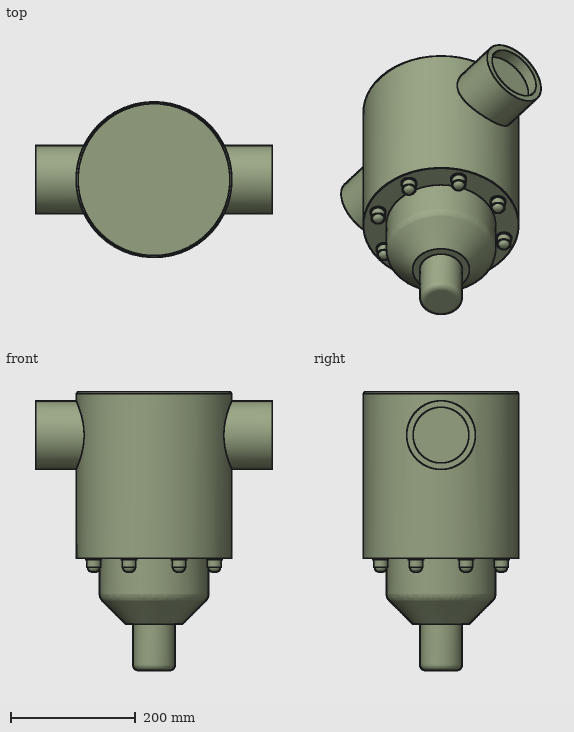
import cadquery as cq
import math

total_height = 448.0
total_length = 380.0

body_radius = 125.0
body_bottom = 180.0
body_top_chamfer = 3.0
body_bottom_chamfer = 0.65

nozzle_radius = 55.0
nozzle_bore_radius = 45.0
nozzle_bore_depth = 20.0
nozzle_axis_z = 378.0

hub_radius = 88.0
cone_bottom = 75.0
cone_tip_radius = 45.5
cone_height = hub_radius - cone_tip_radius
hub_fillet = 15.2
stub_radius = 34.0
stub_fillet = 10.0

bolt_count = 8
bolt_circle_radius = 105.0
bolt_radius = 11.0
washer_radius = 12.5
washer_height = 2.0
bolt_shank_length = 14.5
dome_base_radius = 10.0
dome_height = 7.5


def make_body():
    body = (
        cq.Workplane("XY", origin=(0, 0, body_bottom))
        .circle(body_radius)
        .extrude(total_height - body_bottom)
    )
    body = body.faces(">Z").chamfer(body_top_chamfer)
    return body.faces("<Z").chamfer(body_bottom_chamfer)


def make_nozzle_bar():
    return (
        cq.Workplane("YZ", origin=(-total_length / 2, 0, nozzle_axis_z))
        .circle(nozzle_radius)
        .extrude(total_length)
    )


def make_nozzle_bore(start_x):
    return (
        cq.Workplane("YZ", origin=(start_x, 0, nozzle_axis_z))
        .circle(nozzle_bore_radius)
        .extrude(nozzle_bore_depth)
    )


def make_hub():
    cone_top = cone_bottom + cone_height
    hub = (
        cq.Workplane("XZ")
        .moveTo(0, cone_bottom)
        .lineTo(cone_tip_radius, cone_bottom)
        .lineTo(hub_radius, cone_top)
        .lineTo(hub_radius, body_bottom)
        .lineTo(0, body_bottom)
        .close()
        .revolve(360, (0, 0, 0), (0, 1, 0))
    )
    rim_point = (hub_radius, 0, cone_top)
    return hub.edges("%CIRCLE").edges(cq.selectors.NearestToPointSelector(rim_point)).fillet(hub_fillet)


def make_stub():
    stub = cq.Workplane("XY").circle(stub_radius).extrude(cone_bottom)
    return stub.faces("<Z").edges().fillet(stub_fillet)


def make_bolt(angle):
    shank_bottom = body_bottom - bolt_shank_length
    dome_bottom = shank_bottom - dome_height
    dome_flat_radius = dome_base_radius - dome_height
    arc_reach = dome_height * math.sqrt(0.5)
    dome_middle = (dome_flat_radius + arc_reach, shank_bottom - arc_reach)
    bolt = (
        cq.Workplane("XZ")
        .moveTo(0, body_bottom)
        .lineTo(washer_radius, body_bottom)
        .lineTo(washer_radius, body_bottom - washer_height)
        .lineTo(bolt_radius, body_bottom - washer_height)
        .lineTo(bolt_radius, shank_bottom)
        .lineTo(dome_base_radius, shank_bottom)
        .threePointArc(dome_middle, (dome_flat_radius, dome_bottom))
        .lineTo(0, dome_bottom)
        .close()
        .revolve(360, (0, 0, 0), (0, 1, 0))
    )
    angle_rad = math.radians(angle)
    x = bolt_circle_radius * math.cos(angle_rad)
    y = bolt_circle_radius * math.sin(angle_rad)
    return bolt.translate((x, y, 0))


result = make_body().union(make_nozzle_bar())
for bore_start in (-total_length / 2, total_length / 2 - nozzle_bore_depth):
    result = result.cut(make_nozzle_bore(bore_start))
result = result.union(make_hub()).union(make_stub())
for i in range(bolt_count):
    result = result.union(make_bolt((i + 0.5) * 360 / bolt_count))